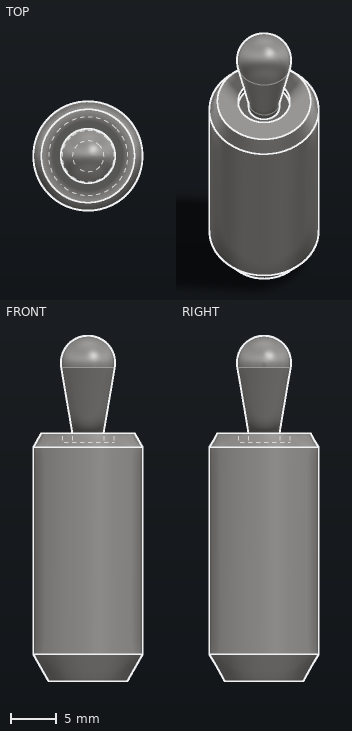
import cadquery as cq
import math

total_height = 37.9

housing_diameter = 12.0
housing_radius = housing_diameter / 2
housing_height = 27.2
top_chamfer_height = 1.55
top_face_radius = 5.1
base_taper_height = 2.95
base_radius = 4.32

recess_radius = 2.85
recess_depth = 1.0

ball_radius = 3.0
ball_center_height = total_height - ball_radius
ball_joint_drop = 0.5
stem_radius = 1.7
joint_height = ball_center_height - ball_joint_drop
joint_radius = math.sqrt(ball_radius**2 - ball_joint_drop**2)
cone_bottom_height = 27.1
recess_floor_height = housing_height - recess_depth


def make_housing():
    """Turned barrel with a chamfered top, a tapered base and a round recess."""
    return (
        cq.Workplane("XZ")
        .lineTo(base_radius, 0)
        .lineTo(housing_radius, base_taper_height)
        .lineTo(housing_radius, housing_height - top_chamfer_height)
        .lineTo(top_face_radius, housing_height)
        .lineTo(recess_radius, housing_height)
        .lineTo(recess_radius, recess_floor_height)
        .lineTo(0, recess_floor_height)
        .close()
        .revolve(360, (0, 0, 0), (0, 1, 0))
    )


def make_lever():
    """Lever standing on the recess floor: short stem, flaring cone and ball end."""
    arc_middle = (ball_radius, ball_center_height)
    return (
        cq.Workplane("XZ")
        .moveTo(0, recess_floor_height)
        .lineTo(stem_radius, recess_floor_height)
        .lineTo(stem_radius, cone_bottom_height)
        .lineTo(joint_radius, joint_height)
        .threePointArc(arc_middle, (0, total_height))
        .close()
        .revolve(360, (0, 0, 0), (0, 1, 0))
    )


housing = make_housing()
lever = make_lever()

result = cq.Compound.makeCompound([housing.val(), lever.val()])